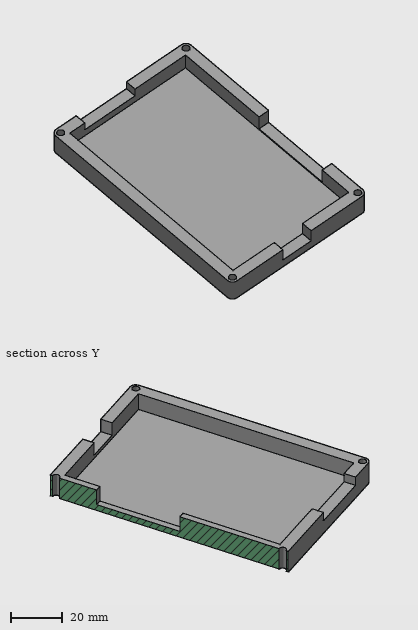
import cadquery as cq

length = 104.7
width = 70.1
height = 10.0
corner_radius = 2.5

wall = 5.0
floor_thickness = 2.5

hole_diameter = 3.0

back_notch_center = 13.6
back_notch_length = 36.5
back_notch_depth = 7.0

left_notch_center = -9.2
left_notch_length = 26.1
left_notch_depth = 4.0

right_notch_center = -1.3
right_notch_length = 14.7
right_notch_depth = 6.0


def block_below_rim(x, y, size_x, size_y, depth):
    """Block centred at (x, y) that fills the given depth below the rim."""
    block = cq.Workplane("XY").box(size_x, size_y, depth, centered=(True, True, False))
    return block.translate((x, y, height - depth))


tray = (
    cq.Workplane("XY")
    .box(length, width, height, centered=(True, True, False))
    .edges("|Z")
    .fillet(corner_radius)
)

pocket_depth = height - floor_thickness
tray = tray.cut(block_below_rim(0, 0, length - 2 * wall, width - 2 * wall, pocket_depth))

hole_spacing_x = length - 2 * corner_radius
hole_spacing_y = width - 2 * corner_radius
holes = (
    cq.Workplane("XY")
    .rect(hole_spacing_x, hole_spacing_y, forConstruction=True)
    .vertices()
    .circle(hole_diameter / 2)
    .extrude(height)
)
tray = tray.cut(holes)

side_wall_x = (length - wall) / 2
back_wall_y = (width - wall) / 2
notches = [
    block_below_rim(back_notch_center, back_wall_y, back_notch_length, wall, back_notch_depth),
    block_below_rim(-side_wall_x, left_notch_center, wall, left_notch_length, left_notch_depth),
    block_below_rim(side_wall_x, right_notch_center, wall, right_notch_length, right_notch_depth),
]
for notch in notches:
    tray = tray.cut(notch)

result = tray